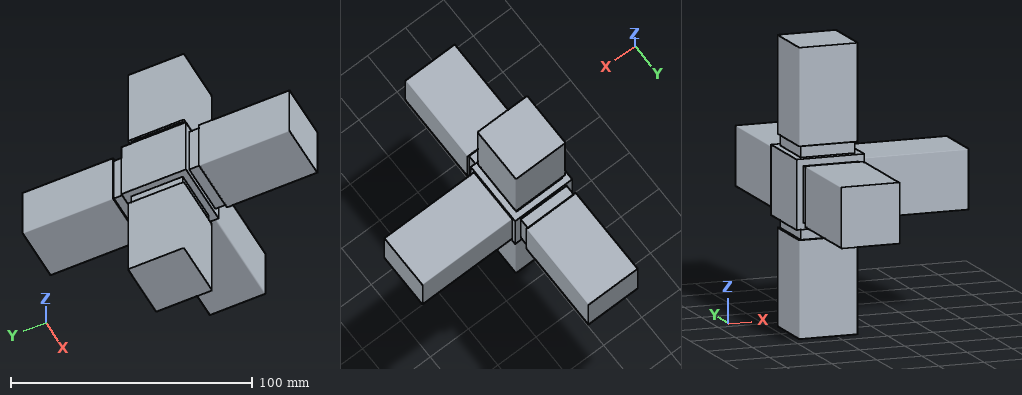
import cadquery as cq

span = 124.0
hub_size = 30.0
plug_width = 26.0
plug_edge_radius = 0.5
neck_width = 24.0
neck_length = 5.0

hub_face = hub_size / 2


def square_bar(direction, width, start, length):
    """Square bar running outward along direction, starting at a distance from the hub centre."""
    origin = (cq.Vector(*direction) * start).toTuple()
    side = (0, 1, 0) if direction[1] == 0 else (1, 0, 0)
    plane = cq.Plane(origin=origin, xDir=side, normal=direction)
    return cq.Workplane(plane).rect(width, width).extrude(length)


def rounded_plug(direction, start):
    """Plug reaching to the end of its arm, with its four lengthwise edges rounded."""
    bar = square_bar(direction, plug_width, start, span / 2 - start)
    lengthwise = cq.selectors.ParallelDirSelector(cq.Vector(*direction))
    return bar.edges(lengthwise).fillet(plug_edge_radius)


result = cq.Workplane("XY").box(hub_size, hub_size, hub_size)

for direction in [(0, 1, 0), (0, -1, 0), (0, 0, 1), (0, 0, -1)]:
    neck = square_bar(direction, neck_width, hub_face, neck_length)
    plug = rounded_plug(direction, hub_face + neck_length)
    result = result.union(neck).union(plug)

result = result.union(rounded_plug((1, 0, 0), hub_face))